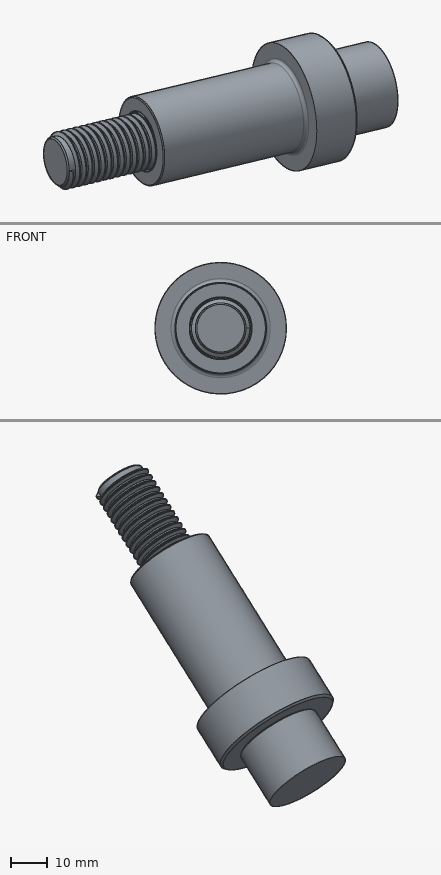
import cadquery as cq
import math

overall_length = 101.0
head_length = 16.0
collar_length = 13.0
shank_length = 45.0
stud_projection = overall_length - head_length - collar_length - shank_length

head_diameter = 24.0
collar_diameter = 36.0
shank_diameter = 25.0
root_diameter = 13.8
thread_diameter = 16.0
bore_diameter = 16.7
countersink_diameter = 17.2

head_relief = 0.3
collar_chamfer = 0.6
shank_fillet = 1.0
shank_chamfer = 0.3
stud_chamfer = 0.4

thread_pitch = thread_diameter / 8
thread_turns = 21
thread_crest_width = 0.3
thread_flank_angle = 30.0
plain_end_length = 1.2
ridge_embedding = 0.2

stud_length = thread_turns * thread_pitch + 2 * plain_end_length
bore_depth = stud_length - stud_projection

collar_front = 0.0
collar_back = collar_front + collar_length
head_end = collar_back + head_length
shoulder = collar_front - shank_length
stud_tip = shoulder - stud_projection
bore_bottom = shoulder + bore_depth


def revolve_about_y(profile):
    """Turn a closed XY profile about the Y axis."""
    return profile.revolve(360, (0, 0, 0), (0, 1, 0))


def make_pin():
    """Turned pin: head, collar and shank, with a countersunk bore for the stud."""
    head_radius = head_diameter / 2
    collar_radius = collar_diameter / 2
    shank_radius = shank_diameter / 2
    bore_radius = bore_diameter / 2
    countersink_radius = countersink_diameter / 2
    countersink_depth = countersink_radius - bore_radius
    fillet_inset = shank_fillet * (1 - math.sqrt(0.5))

    profile = (
        cq.Workplane("XY")
        .moveTo(0, head_end)
        .lineTo(head_radius, head_end)
        .lineTo(head_radius, collar_back + head_relief)
        .lineTo(head_radius - head_relief, collar_back)
        .lineTo(collar_radius - collar_chamfer, collar_back)
        .lineTo(collar_radius, collar_back - collar_chamfer)
        .lineTo(collar_radius, collar_front)
        .lineTo(shank_radius + shank_fillet, collar_front)
        .threePointArc(
            (shank_radius + fillet_inset, collar_front - fillet_inset),
            (shank_radius, collar_front - shank_fillet),
        )
        .lineTo(shank_radius, shoulder + shank_chamfer)
        .lineTo(shank_radius - shank_chamfer, shoulder)
        .lineTo(countersink_radius, shoulder)
        .lineTo(bore_radius, shoulder + countersink_depth)
        .lineTo(bore_radius, bore_bottom)
        .lineTo(0, bore_bottom)
        .close()
    )
    return revolve_about_y(profile)


def make_thread_ridge():
    """Right-handed ridge that starts and ends on the +X side of the stud."""
    crest_radius = thread_diameter / 2
    foot_radius = root_diameter / 2 - ridge_embedding
    crest_half = thread_crest_width / 2
    flank_run = (crest_radius - foot_radius) * math.tan(math.radians(thread_flank_angle))
    foot_half = crest_half + flank_run

    helix = cq.Wire.makeHelix(thread_pitch, thread_pitch * thread_turns, foot_radius)
    ridge = (
        cq.Workplane("XZ")
        .polyline([
            (foot_radius, -foot_half),
            (crest_radius, -crest_half),
            (crest_radius, crest_half),
            (foot_radius, foot_half),
        ])
        .close()
        .sweep(cq.Workplane(obj=helix), isFrenet=True)
    )
    return ridge.rotate((0, 0, 0), (1, 0, 0), -90).translate((0, stud_tip + plain_end_length, 0))


def make_stud():
    """Threaded stud, chamfered at both ends."""
    root_radius = root_diameter / 2
    profile = (
        cq.Workplane("XY")
        .moveTo(0, bore_bottom)
        .lineTo(root_radius - stud_chamfer, bore_bottom)
        .lineTo(root_radius, bore_bottom - stud_chamfer)
        .lineTo(root_radius, stud_tip + stud_chamfer)
        .lineTo(root_radius - stud_chamfer, stud_tip)
        .lineTo(0, stud_tip)
        .close()
    )
    return revolve_about_y(profile).union(make_thread_ridge())


pin = make_pin()
stud = make_stud()

result = cq.Compound.makeCompound([pin.val(), stud.val()])